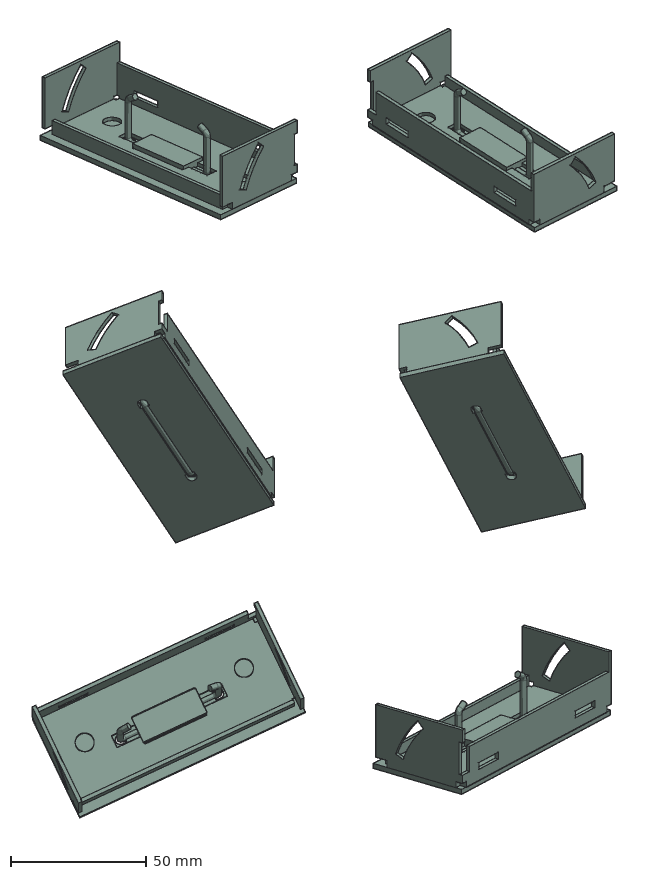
import cadquery as cq
import math


width = 92.3
base_depth = 40.7
base_thickness = 2.0
half_width = width / 2

sheet = 1.5
tray_back = 41.1
side_wall_front = 1.1
side_wall_top = 26.0
front_wall_front = 3.7
front_wall_top = 7.75
back_wall_right = 41.6
back_wall_top = 17.9
back_step_top = front_wall_top
floor_top = base_thickness + sheet
side_wall_inside = half_width - sheet
front_wall_inside = front_wall_front + sheet
back_wall_inside = tray_back - sheet

relief_x = 43.6
front_relief_y = 6.3
front_relief_top = 4.8
back_relief_y = 38.0
back_relief_top = 4.4
clearance_top = 20.8

back_slot_x = 29.9
back_slot_length = 12.0
back_slot_height = 2.8
back_slot_top = 9.4

arc_center_y = 54.2
arc_center_z = -8.1
arc_inner_radius = 43.3
arc_slot_width = 3.7
arc_low_angle = 20.7
arc_high_angle = 44.0

hole_x = 32.6
hole_y = 24.4
hole_diameter = 7.0

wire_radius = 1.25
wire_y = 19.9
post_x = 20.1
post_top = 18.0
wire_bend = 2.0
tip_turn = math.radians(60)
tip_length = 2.95
foot_slot_radius = 1.8

pad_length = 26.1
pad_depth = 10.15
pad_height = 1.4
slit_length = 25.3
slit_width = 0.55
window_length = 45.1
window_depth = 4.9


def box(x_range, y_range, z_range):
    """Box that fills the given (low, high) ranges."""
    x_low, x_high = x_range
    y_low, y_high = y_range
    z_low, z_high = z_range
    block = cq.Workplane("XY").box(x_high - x_low, y_high - y_low, z_high - z_low, centered=False)
    return block.translate((x_low, y_low, z_low))


def around(middle, size):
    """Range of the given size around its middle."""
    return (middle - size / 2, middle + size / 2)


def make_wire():
    """Round wire swept from the left tip, down its post, along the arm and up to the right tip."""

    def on_tip_bend(turn):
        x = post_x - wire_bend * (1 - math.cos(turn))
        z = post_top + wire_bend * math.sin(turn)
        return (x, z)

    def mirrored(point):
        return (-point[0], point[1])

    foot_top_z = wire_radius + wire_bend
    post_bottom = (post_x, foot_top_z)
    post_end = (post_x, post_top)
    arm_end = (post_x - wire_bend, wire_radius)
    foot_middle = (
        post_x - wire_bend * (1 - math.cos(math.pi / 4)),
        foot_top_z - wire_bend * math.sin(math.pi / 4),
    )
    bend_middle = on_tip_bend(tip_turn / 2)
    bend_end = on_tip_bend(tip_turn)
    tip_end = (
        bend_end[0] - tip_length * math.sin(tip_turn),
        bend_end[1] + tip_length * math.cos(tip_turn),
    )
    path = (
        cq.Workplane("XZ", origin=(0, wire_y, 0))
        .moveTo(*mirrored(tip_end))
        .lineTo(*mirrored(bend_end))
        .threePointArc(mirrored(bend_middle), mirrored(post_end))
        .lineTo(*mirrored(post_bottom))
        .threePointArc(mirrored(foot_middle), mirrored(arm_end))
        .lineTo(*arm_end)
        .threePointArc(foot_middle, post_bottom)
        .lineTo(*post_end)
        .threePointArc(bend_middle, bend_end)
        .lineTo(*tip_end)
    )
    start_face = cq.Plane(
        origin=(-tip_end[0], wire_y, tip_end[1]),
        xDir=(0, 1, 0),
        normal=(-math.sin(tip_turn), 0, -math.cos(tip_turn)),
    )
    return cq.Workplane(start_face).circle(wire_radius).sweep(path)


def foot_slot(side):
    """Opening in the base plate around one foot: round outside, square towards the arm."""
    foot = cq.Workplane("XY").center(side * post_x, wire_y)
    round_end = foot.circle(foot_slot_radius).extrude(base_thickness)
    square_end = box(
        around(side * (post_x - foot_slot_radius / 2), foot_slot_radius),
        around(wire_y, 2 * foot_slot_radius),
        (0, base_thickness),
    )
    return round_end.union(square_end)


def make_base(wire):
    """Flat plate with a groove that fits over the arm and is open downwards below its axis."""
    plate = box((-half_width, half_width), (0, base_depth), (0, base_thickness))
    lower_groove = box(around(0, 2 * post_x), around(wire_y, 2 * wire_radius), (0, wire_radius))
    plate = plate.cut(lower_groove)
    for side in (-1, 1):
        plate = plate.cut(foot_slot(side))
    return plate.cut(wire)


def folded_sheet():
    """Floor with its four walls; the back wall steps down at its right end."""
    full_x = (-half_width, half_width)
    back_y = (back_wall_inside, tray_back)
    floor = box(full_x, (front_wall_front, tray_back), (base_thickness, floor_top))
    front_wall = box(
        (-relief_x, relief_x), (front_wall_front, front_wall_inside), (base_thickness, front_wall_top)
    )
    back_wall = box((-half_width, back_wall_right), back_y, (base_thickness, back_wall_top))
    back_step = box(full_x, back_y, (base_thickness, back_step_top))
    shell = floor.union(front_wall).union(back_wall).union(back_step)
    for x_range in ((-half_width, -side_wall_inside), (side_wall_inside, half_width)):
        side_wall = box(x_range, (side_wall_front, tray_back), (base_thickness, side_wall_top))
        shell = shell.union(side_wall)
    return shell


def cut_reliefs(tray):
    """Clear the four bottom corners, and the right wall's back edge above the step."""
    for x_range in ((-half_width, -relief_x), (relief_x, half_width)):
        front = box(x_range, (side_wall_front, front_relief_y), (base_thickness, front_relief_top))
        back = box(x_range, (back_relief_y, tray_back), (base_thickness, back_relief_top))
        tray = tray.cut(front).cut(back)
    clearance = box(
        (side_wall_inside, half_width), (back_wall_inside, tray_back), (back_step_top, clearance_top)
    )
    return tray.cut(clearance)


def arc_slot():
    """Curved slot that runs through both side walls."""
    outer_radius = arc_inner_radius + arc_slot_width
    middle_angle = (arc_low_angle + arc_high_angle) / 2

    def on_arc(radius, angle):
        turn = math.radians(angle)
        return (arc_center_y - radius * math.cos(turn), arc_center_z + radius * math.sin(turn))

    return (
        cq.Workplane("YZ", origin=(-half_width, 0, 0))
        .moveTo(*on_arc(arc_inner_radius, arc_low_angle))
        .threePointArc(on_arc(arc_inner_radius, middle_angle), on_arc(arc_inner_radius, arc_high_angle))
        .lineTo(*on_arc(outer_radius, arc_high_angle))
        .threePointArc(on_arc(outer_radius, middle_angle), on_arc(outer_radius, arc_low_angle))
        .close()
        .extrude(width)
    )


def cut_wall_slots(tray):
    """Curved slots in the side walls and two straight slots in the back wall."""
    tray = tray.cut(arc_slot())
    for side in (-1, 1):
        back_slot = box(
            around(side * back_slot_x, back_slot_length),
            (back_wall_inside, tray_back),
            (back_slot_top - back_slot_height, back_slot_top),
        )
        tray = tray.cut(back_slot)
    return tray


def cut_floor_openings(tray):
    """Round holes, the window around the wire and the opening that leaves the slits."""
    floor_z = (base_thickness, floor_top)
    for side in (-1, 1):
        hole = cq.Workplane("XY").center(side * hole_x, hole_y).circle(hole_diameter / 2).extrude(floor_top)
        tray = tray.cut(hole)
    window = box(around(0, window_length), around(wire_y, window_depth), floor_z)
    slit_opening = box(around(0, slit_length), around(wire_y, pad_depth + 2 * slit_width), floor_z)
    return tray.cut(window).cut(slit_opening)


def make_tray(wire):
    """Folded tray with its slots, openings and the pad that holds the arm down."""
    tray = cut_reliefs(folded_sheet())
    tray = cut_floor_openings(cut_wall_slots(tray))
    pad = box(around(0, pad_length), around(wire_y, pad_depth), (base_thickness, floor_top + pad_height))
    return tray.union(pad).cut(wire)


wire = make_wire()
base = make_base(wire)
tray = make_tray(wire)

result = cq.Compound.makeCompound([base.solids().val(), tray.solids().val(), wire.val()])